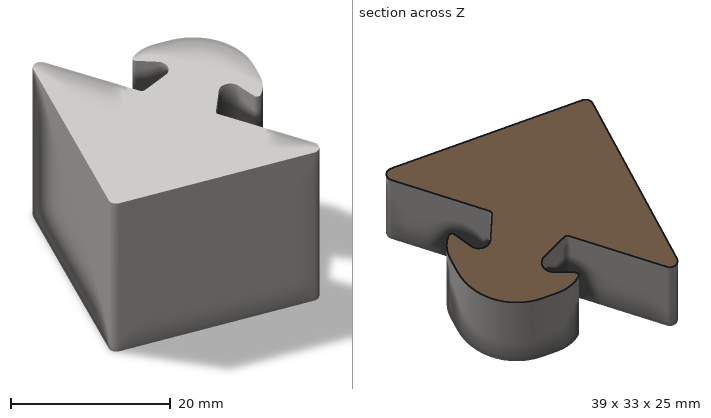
import cadquery as cq
import math

LENGTH = 25.0

FLANK_ANGLE = math.radians(45)

BODY_WIDTH = 39.0
BODY_CORNER_RADIUS = 1.0

NECK_FOOT_HALF_WIDTH = 4.98
NECK_TAPER = math.radians(18.5)
NECK_FOOT_RADIUS = 0.5

HEAD_TOP = 12.5
CROWN_RADIUS = 8.15
SHOULDER_Y = 8.65
BARB_TIP_RADIUS = 0.5
BARB_SLOPE = math.radians(20)
BARB_CORNER_X = 8.75
BARB_CORNER_Y = 4.65
UNDERCUT_RADIUS = 1.45

wing_rounding_x = BODY_WIDTH / 2 - BODY_CORNER_RADIUS
wing_x = wing_rounding_x + BODY_CORNER_RADIUS / math.tan(FLANK_ANGLE / 2)
wing = (wing_x, 0)
apex = (0, -wing_x * math.tan(FLANK_ANGLE))

neck_foot = (NECK_FOOT_HALF_WIDTH, 0)
barb_corner = (BARB_CORNER_X, BARB_CORNER_Y)

neck_run = math.tan(NECK_TAPER)
barb_rise = math.tan(BARB_SLOPE)
undercut_y = BARB_CORNER_Y + barb_rise * (BARB_CORNER_X - NECK_FOOT_HALF_WIDTH)
undercut_y = undercut_y / (1 - barb_rise * neck_run)
undercut = (NECK_FOOT_HALF_WIDTH - neck_run * undercut_y, undercut_y)

roof_y = HEAD_TOP + CROWN_RADIUS * (1 / math.cos(FLANK_ANGLE) - 1)
roof = (0, roof_y)
shoulder = ((roof_y - SHOULDER_Y) / math.tan(FLANK_ANGLE), SHOULDER_Y)


def mirrored(point):
    """Matching point on the other side of the YZ symmetry plane."""
    return (-point[0], point[1])


def round_corners(solid, corners, radius):
    """Fillet the lengthwise edges standing on the given profile corners."""
    for x, y in corners:
        edge = cq.selectors.NearestToPointSelector((x, y, LENGTH / 2))
        solid = solid.edges("|Z").edges(edge).fillet(radius)
    return solid


def shoulder_arc_middle():
    """Point halfway along the arc that leaves the roof flank tangentially and ends at the barb corner."""
    chord_x = barb_corner[0] - shoulder[0]
    chord_y = barb_corner[1] - shoulder[1]
    half_turn = -FLANK_ANGLE - math.atan2(chord_y, chord_x)
    bulge = math.tan(half_turn / 2) / 2
    middle_x = (shoulder[0] + barb_corner[0]) / 2 - bulge * chord_y
    middle_y = (shoulder[1] + barb_corner[1]) / 2 + bulge * chord_x
    return (middle_x, middle_y)


def sharp_extrusion():
    """Extrude the profile with rounded shoulders and all its corners still sharp."""
    shoulder_middle = shoulder_arc_middle()
    outline = cq.Workplane("XY").polyline([apex, wing, neck_foot, undercut, barb_corner])
    outline = outline.threePointArc(shoulder_middle, shoulder)
    outline = outline.lineTo(*roof).lineTo(*mirrored(shoulder))
    outline = outline.threePointArc(mirrored(shoulder_middle), mirrored(barb_corner))
    for corner in (undercut, neck_foot, wing):
        outline = outline.lineTo(*mirrored(corner))
    return outline.close().extrude(LENGTH)


def both_sides(corner):
    """A profile corner together with its mirror image."""
    return [corner, mirrored(corner)]


result = sharp_extrusion()
result = round_corners(result, [apex] + both_sides(wing), BODY_CORNER_RADIUS)
result = round_corners(result, both_sides(neck_foot), NECK_FOOT_RADIUS)
result = round_corners(result, both_sides(undercut), UNDERCUT_RADIUS)
result = round_corners(result, [roof], CROWN_RADIUS)
result = round_corners(result, both_sides(barb_corner), BARB_TIP_RADIUS)